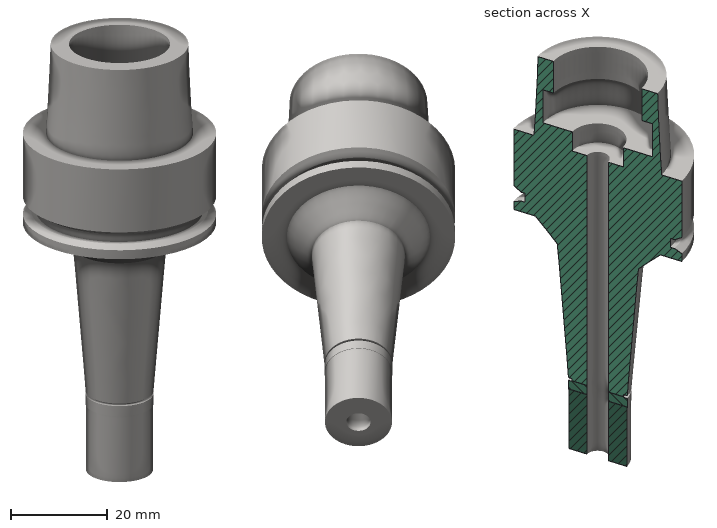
import cadquery as cq

total_height = 95.0
flange_top = 75.1
flange_bottom = 55.1
cone_bottom = 50.0
taper_bottom = 17.6
ring_top = 17.0
ring_bottom = 14.7

shank_top_radius = 14.25
shank_base_radius = 15.2
mouth_radius = 10.45
mouth_depth = 8.0
undercut_radius = 12.9
socket_depth = 16.1

flange_diameter = 40.0
flange_radius = flange_diameter / 2
groove_floor_radius = 17.3
groove_upper_edge = 61.1
groove_upper_bevel_height = 1.1
groove_upper_bevel_width = 1.8
groove_lower_edge = 57.1
groove_lower_bevel_height = 0.8
groove_lower_bevel_width = 1.7

cone_top_radius = 14.8
taper_top_radius = cone_top_radius - (flange_bottom - cone_bottom)
taper_bottom_radius = 7.0
neck_radius = 6.2

ring_radius = 7.0
sleeve_radius = 6.9

passage_diameter = 5.0
passage_radius = passage_diameter / 2
counterbore_radius = 6.0
counterbore_depth = 4.75


def revolve_profile(points):
    """Turn a closed (radius, height) outline about the Z axis."""
    return cq.Workplane("XZ").polyline(points).close().revolve(360, (0, 0, 0), (0, 1, 0))


def cylinder(radius, bottom, top):
    return cq.Workplane("XY").workplane(offset=bottom).circle(radius).extrude(top - bottom)


def make_holder():
    groove_ceiling = groove_upper_edge - groove_upper_bevel_height
    groove_floor = groove_lower_edge + groove_lower_bevel_height
    outer = revolve_profile([
        (0, total_height),
        (shank_top_radius, total_height),
        (shank_base_radius, flange_top),
        (flange_radius, flange_top),
        (flange_radius, groove_upper_edge),
        (flange_radius - groove_upper_bevel_width, groove_ceiling),
        (groove_floor_radius, groove_ceiling),
        (groove_floor_radius, groove_floor),
        (flange_radius - groove_lower_bevel_width, groove_floor),
        (flange_radius, groove_lower_edge),
        (flange_radius, flange_bottom),
        (cone_top_radius, flange_bottom),
        (taper_top_radius, cone_bottom),
        (taper_bottom_radius, taper_bottom),
        (neck_radius, taper_bottom),
        (neck_radius, ring_top),
        (0, ring_top),
    ])
    socket_floor = total_height - socket_depth
    undercut_top = total_height - mouth_depth
    mouth = cylinder(mouth_radius, undercut_top, total_height)
    undercut = cylinder(undercut_radius, socket_floor, undercut_top)
    counterbore = cylinder(counterbore_radius, socket_floor - counterbore_depth, socket_floor)
    passage = cylinder(passage_radius, ring_top, socket_floor)
    return outer.cut(mouth).cut(undercut).cut(counterbore).cut(passage)


def make_clamping_ring():
    blank = cylinder(ring_radius, ring_bottom, ring_top)
    return blank.cut(cylinder(passage_radius, ring_bottom, ring_top))


def make_nose_sleeve():
    blank = cylinder(sleeve_radius, 0, ring_bottom)
    return blank.cut(cylinder(passage_radius, 0, ring_bottom))


holder = make_holder()
clamping_ring = make_clamping_ring()
nose_sleeve = make_nose_sleeve()

result = cq.Compound.makeCompound([
    holder.val(),
    clamping_ring.val(),
    nose_sleeve.val(),
])